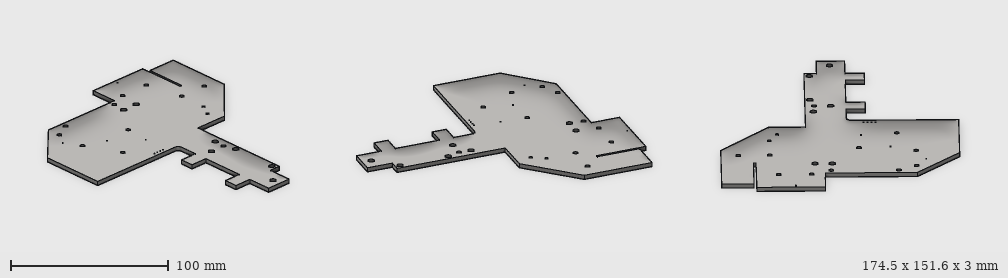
import cadquery as cq

LENGTH = 174.51
WIDTH = 151.55
THICKNESS = 3.0

LOWER_LEFT_X = 19.3
LOWER_RIGHT_X = 92.35
LOWER_CHAMFER = 27.25
SHOULDER_Y = 85.65
UPPER_RIGHT_X = 83.3
UPPER_CHAMFER_X = 31.9
UPPER_CHAMFER_Y = 30.7

SLOT_BOTTOM_Y = 129.35
SLOT_WIDTH = 1.6
SLOT_END_X = 33.75
TOP_LEFT_X = 4.9

ARM_TOP_Y = 97.35
ARM_BOTTOM_Y = 71.25
ARM_END_TOP_Y = 89.4
ARM_STEP_X = 157.45
TAB_WIDTH = 9.6
TAB_DEPTH = 12.25
TAB_LEFT_EDGES = (107.85, ARM_STEP_X - TAB_WIDTH)
INNER_CORNER_RADIUS = 3.0

LARGE_HOLE_DIAMETER = 4.0
LARGE_HOLES = [
    (32.5, 92.05),
    (32.45, 81.05),
    (104.5, 92.05),
    (112.5, 81.0),
    (121.0, 94.05),
    (154.0, 94.05),
    (168.45, 81.0),
]

MEDIUM_HOLE_DIAMETER = 3.0
MEDIUM_HOLES = [
    (44.55, 140.5),
    (44.55, 120.55),
    (23.05, 81.85),
    (23.0, 38.9),
    (112.5, 91.55),
]

REDUCED_HOLE_DIAMETER = 2.9
REDUCED_HOLES = [
    (17.8, 115.25),
    (17.8, 94.3),
    (29.0, 27.65),
    (50.0, 27.65),
    (54.3, 63.8),
    (74.45, 39.55),
]

SMALL_HOLE_DIAMETER = 2.0
SMALL_HOLES = [
    (64.5, 120.55),
    (73.2, 115.5),
]

PIN_HOLE_DIAMETER = 0.5
PIN_HOLES = [
    (2.5, 104.55),
    (71.95, 62.25),
    (55.8, 43.8),
    (38.55, 21.35),
]

PIN_ROW_X = 89.5
PIN_ROW_START_Y = 52.9
PIN_ROW_PITCH = 2.54
PIN_ROW_COUNT = 4


def make_body():
    """Main body: chamfered at two opposite corners and slotted from the left."""
    outline = [
        (LOWER_LEFT_X + LOWER_CHAMFER, 0),
        (LOWER_RIGHT_X, 0),
        (LOWER_RIGHT_X, ARM_BOTTOM_Y),
        (LENGTH, ARM_BOTTOM_Y),
        (LENGTH, ARM_END_TOP_Y),
        (ARM_STEP_X, ARM_END_TOP_Y),
        (ARM_STEP_X, ARM_TOP_Y),
        (UPPER_RIGHT_X, ARM_TOP_Y),
        (UPPER_RIGHT_X, WIDTH - UPPER_CHAMFER_Y),
        (UPPER_RIGHT_X - UPPER_CHAMFER_X, WIDTH),
        (TOP_LEFT_X, WIDTH),
        (TOP_LEFT_X, SLOT_BOTTOM_Y + SLOT_WIDTH),
        (SLOT_END_X, SLOT_BOTTOM_Y + SLOT_WIDTH),
        (SLOT_END_X, SLOT_BOTTOM_Y),
        (0, SLOT_BOTTOM_Y),
        (0, SHOULDER_Y),
        (LOWER_LEFT_X, SHOULDER_Y),
        (LOWER_LEFT_X, LOWER_CHAMFER),
    ]
    body = cq.Workplane("XY").polyline(outline).close().extrude(THICKNESS)
    inner_corner = cq.selectors.NearestToPointSelector((LOWER_RIGHT_X, ARM_BOTTOM_Y, THICKNESS / 2))
    return body.edges("|Z").edges(inner_corner).fillet(INNER_CORNER_RADIUS)


def add_tabs(plate):
    """Rectangular tabs hanging from the lower edge of the arm."""
    tab_height = ARM_END_TOP_Y - ARM_BOTTOM_Y + TAB_DEPTH
    for left_x in TAB_LEFT_EDGES:
        tab = cq.Workplane("XY").box(TAB_WIDTH, tab_height, THICKNESS, centered=False)
        plate = plate.union(tab.translate((left_x, ARM_BOTTOM_Y - TAB_DEPTH, 0)))
    return plate.clean()


def drill(plate, diameter, centres):
    """Cut round holes through the full thickness."""
    drills = cq.Workplane("XY").pushPoints(centres).circle(diameter / 2).extrude(THICKNESS)
    return plate.cut(drills)


pin_row = [(PIN_ROW_X, PIN_ROW_START_Y + i * PIN_ROW_PITCH) for i in range(PIN_ROW_COUNT)]

result = add_tabs(make_body())
result = drill(result, LARGE_HOLE_DIAMETER, LARGE_HOLES)
result = drill(result, MEDIUM_HOLE_DIAMETER, MEDIUM_HOLES)
result = drill(result, REDUCED_HOLE_DIAMETER, REDUCED_HOLES)
result = drill(result, SMALL_HOLE_DIAMETER, SMALL_HOLES)
result = drill(result, PIN_HOLE_DIAMETER, PIN_HOLES + pin_row)